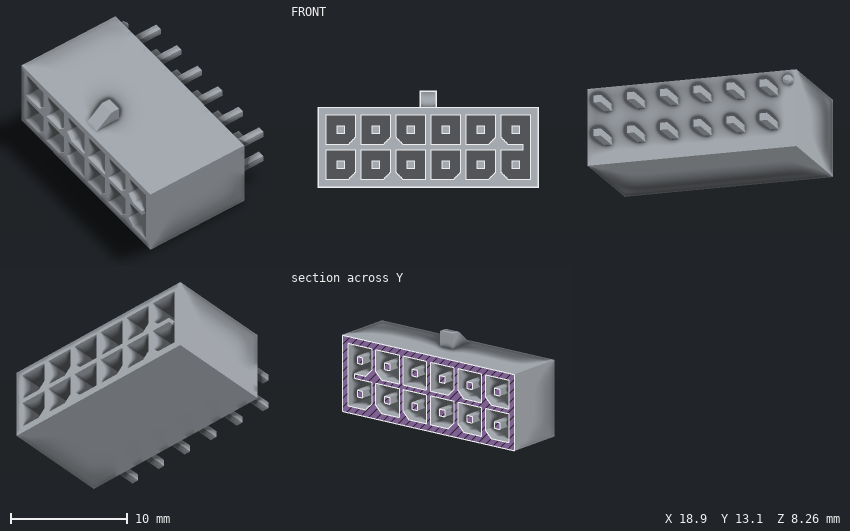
import cadquery as cq

body_width = 18.85
body_depth = 9.92
body_height = 6.86

columns = 6
rows = 2
contact_span = 15.0
pitch = contact_span / (columns - 1)

cavity_size = 2.55
cavity_depth = 8.0
cavity_chamfer = 0.65

top_row_corners = ["right", "right", "left", "none", "right", "left"]
bottom_row_corners = ["right", "right", "left", "right", "right", "left"]
corner_styles = [bottom_row_corners, top_row_corners]

link_slot_width = 0.65

pin_size = 0.65
pin_recess = 3.0
pin_tail = 3.17

latch_width = 1.4
latch_height = 1.4
latch_front = 0.57
latch_back = 2.98
latch_flat = 0.8

peg_diameter = 0.83
peg_length = 0.81
peg_chamfer = 0.23
peg_from_side = 0.62
peg_from_top = 0.98


def column_x(column):
    return (column - (columns - 1) / 2) * pitch


def row_z(row):
    return (row - (rows - 1) / 2) * pitch


def block(x, z, width, height, front, back):
    """Box centred at (x, z) that spans front to back along Y."""
    center = (x, (front + back) / 2, z)
    return cq.Workplane("XY").box(width, back - front, height).translate(center)


def make_cavity(x, z, corner):
    """Square cavity that may have one lower corner cut off."""
    cavity = block(x, z, cavity_size, cavity_size, 0, cavity_depth)
    if corner == "left":
        cavity = cavity.edges("<X and <Z").chamfer(cavity_chamfer)
    elif corner == "right":
        cavity = cavity.edges(">X and <Z").chamfer(cavity_chamfer)
    return cavity


def make_link_slot():
    """Slot along the outer side of the last column, from row to row."""
    slot_x = column_x(columns - 1) + (cavity_size - link_slot_width) / 2
    return block(slot_x, 0, link_slot_width, pitch, 0, cavity_depth)


def make_pin(x, z):
    return block(x, z, pin_size, pin_size, pin_recess, body_depth + pin_tail)


def make_latch():
    """Ramp that rises from the mating side to a flat top and a square back."""
    base_z = body_height / 2
    top_z = base_z + latch_height
    return (
        cq.Workplane("YZ")
        .moveTo(latch_front, base_z)
        .lineTo(latch_back - latch_flat, top_z)
        .lineTo(latch_back, top_z)
        .lineTo(latch_back, base_z)
        .close()
        .extrude(latch_width / 2, both=True)
    )


def make_peg():
    peg_x = peg_from_side - body_width / 2
    peg_z = body_height / 2 - peg_from_top
    return (
        cq.Workplane("XZ", origin=(peg_x, body_depth, peg_z))
        .circle(peg_diameter / 2)
        .extrude(-peg_length)
        .faces(">Y")
        .chamfer(peg_chamfer)
    )


result = block(0, 0, body_width, body_height, 0, body_depth)

for row in range(rows):
    for column in range(columns):
        corner = corner_styles[row][column]
        result = result.cut(make_cavity(column_x(column), row_z(row), corner))
result = result.cut(make_link_slot())

for row in range(rows):
    for column in range(columns):
        result = result.union(make_pin(column_x(column), row_z(row)))

result = result.union(make_latch()).union(make_peg())